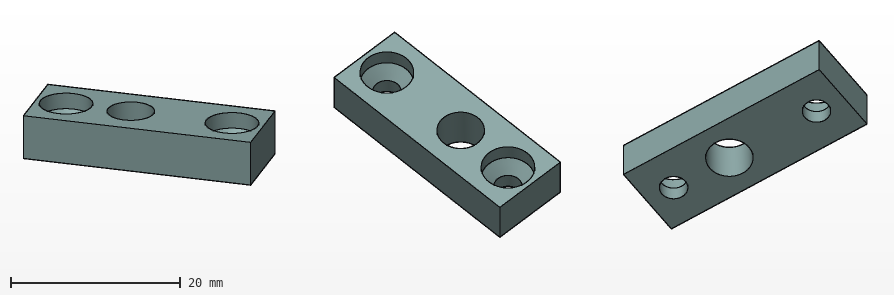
import cadquery as cq

length = 28.0
width = 10.0
height = 5.5

screw_hole_positions = (3.75, 24.2)
screw_hole_diameter = 3.35
screw_head_diameter = 6.33
head_recess_depth = 2.0
plain_hole_position = 11.73
plain_hole_diameter = 5.6

seat_depth = (screw_head_diameter - screw_hole_diameter) / 2


def screw_hole_cutter(x):
    """Through hole, conical seat and head recess, revolved about a vertical axis."""
    hole_radius = screw_hole_diameter / 2
    head_radius = screw_head_diameter / 2
    seat_top = height - head_recess_depth
    profile = (
        cq.Workplane("XZ")
        .moveTo(0, 0)
        .lineTo(hole_radius, 0)
        .lineTo(hole_radius, seat_top - seat_depth)
        .lineTo(head_radius, seat_top)
        .lineTo(head_radius, height)
        .lineTo(0, height)
        .close()
    )
    return profile.revolve(360, (0, 0), (0, 1)).translate((x, width / 2, 0))


result = cq.Workplane("XY").box(length, width, height, centered=False)

plain_hole = cq.Workplane("XY").circle(plain_hole_diameter / 2).extrude(height)
result = result.cut(plain_hole.translate((plain_hole_position, width / 2, 0)))

for position in screw_hole_positions:
    result = result.cut(screw_hole_cutter(position))